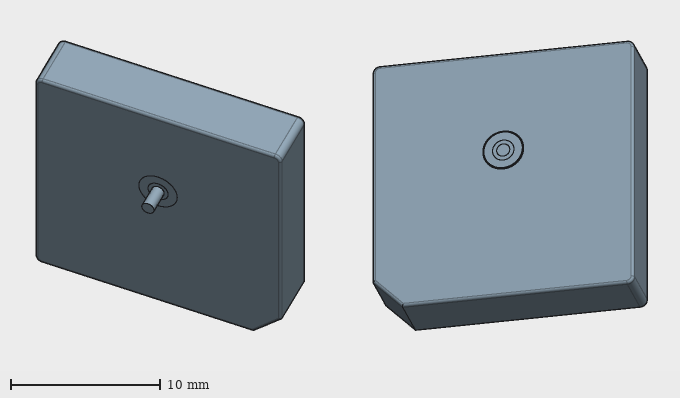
import cadquery as cq

side = 18.0
thickness = 4.03
corner_radius = 0.5
corner_cut = 2.03
edge_radius = 0.2

feed_height = 1.8
ring_diameter = 2.8
sleeve_diameter = 1.48
pin_diameter = 0.9
pin_projection = 1.7

head_diameter = 2.66
head_thickness = 0.07


def feed_cylinder(diameter, front_y, back_y):
    """Solid cylinder on the feed axis between two Y positions."""
    return (
        cq.Workplane("XZ", origin=(0, front_y, feed_height))
        .circle(diameter / 2)
        .extrude(front_y - back_y)
    )


def make_block():
    """Tile with three round corners, one cut corner and rounded face edges."""
    tile = cq.Workplane("XZ").rect(side, side).extrude(-thickness)
    cut_corner = tile.edges("|Y").edges(">(1, 0, -1)").chamfer(corner_cut)
    rounded = cut_corner.edges("|Y").edges("<X or >Z").fillet(corner_radius)
    softened = rounded.faces("<Y or >Y").edges().fillet(edge_radius)
    return softened.cut(feed_cylinder(ring_diameter, 0, thickness))


def make_tube(outer_diameter, inner_diameter):
    """Tube on the feed axis, flush with both faces of the block."""
    outer = feed_cylinder(outer_diameter, 0, thickness)
    return outer.cut(feed_cylinder(inner_diameter, 0, thickness))


def make_pin():
    """Straight pin with a thin flat head resting on the back face."""
    shank = feed_cylinder(pin_diameter, -pin_projection, thickness)
    head = feed_cylinder(head_diameter, thickness, thickness + head_thickness)
    return shank.union(head)


block = make_block()
ring = make_tube(ring_diameter, sleeve_diameter)
sleeve = make_tube(sleeve_diameter, pin_diameter)
pin = make_pin()

result = cq.Compound.makeCompound([block.val(), ring.val(), sleeve.val(), pin.val()])